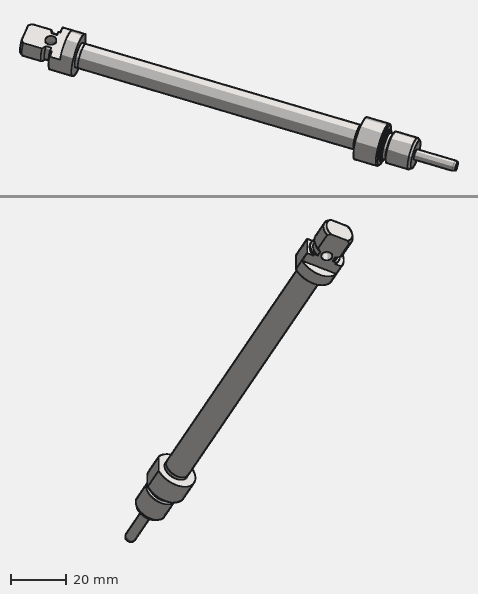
import cadquery as cq


cap_diameter = 16.0
thread_diameter = 12.0
undercut_diameter = 10.0
barrel_diameter = 9.3
rod_diameter = 4.0

cap_flat_distance = 7.0

rear_thread_chamfer_length = 1.0
rear_thread_chamfer_depth = 0.75
rear_thread_end = 8.25
rear_undercut_taper = 1.0
rear_collar_start = 11.25
rear_cap_start = 12.0
rear_cap_end = 20.8

tang_thickness = 8.0
tang_end = 16.0
pin_hole_diameter = 4.0
pin_hole_x = 10.0

spigot_length = 1.3

front_cap_start = 129.2
front_cap_end = 138.3
front_cap_chamfer = 0.5
front_collar_end = 139.2
front_collar_chamfer = 0.4
front_thread_start = 140.9
front_undercut_taper = 0.5
front_thread_end = 150.3
front_thread_chamfer_length = 1.0
front_thread_chamfer_depth = 0.75

rod_end = 166.0
rod_chamfer_length = 1.0
rod_chamfer_depth = 0.3


def turned(stations):
    """Solid of revolution about X from (x, diameter) stations, closed to the axis at both ends."""
    outline = [(x, diameter / 2) for x, diameter in stations]
    first_x = stations[0][0]
    last_x = stations[-1][0]
    return (
        cq.Workplane("XY")
        .polyline([(first_x, 0), *outline, (last_x, 0)])
        .close()
        .revolve(360, (0, 0, 0), (1, 0, 0))
    )


def with_side_flat(cap, start, end):
    """Trim the +Y side of a cap to a flat between two X stations."""
    trim = (
        cq.Workplane("XY")
        .box(end - start, cap_diameter, 2 * cap_diameter, centered=(False, False, True))
        .translate((start, cap_flat_distance, 0))
    )
    return cap.cut(trim)


def make_rear_cap():
    body = turned([
        (0, thread_diameter - 2 * rear_thread_chamfer_depth),
        (rear_thread_chamfer_length, thread_diameter),
        (rear_thread_end, thread_diameter),
        (rear_thread_end + rear_undercut_taper, undercut_diameter),
        (rear_collar_start, undercut_diameter),
        (rear_collar_start, thread_diameter),
        (rear_cap_start, thread_diameter),
        (rear_cap_start, cap_diameter),
        (rear_cap_end, cap_diameter),
        (rear_cap_end, barrel_diameter),
        (rear_cap_end + spigot_length, barrel_diameter),
    ])
    body = with_side_flat(body, rear_cap_start, rear_cap_end)

    for side in (1, -1):
        slab = cq.Workplane("XY").box(
            tang_end, 2 * cap_diameter, cap_diameter, centered=(False, True, True)
        )
        body = body.cut(slab.translate((0, 0, side * (tang_thickness + cap_diameter) / 2)))

    pin_hole = (
        cq.Workplane("XY")
        .center(pin_hole_x, 0)
        .circle(pin_hole_diameter / 2)
        .extrude(cap_diameter, both=True)
    )
    return body.cut(pin_hole)


def make_barrel():
    return turned([
        (rear_cap_end + spigot_length, barrel_diameter),
        (front_cap_start - spigot_length, barrel_diameter),
    ])


def make_front_cap():
    body = turned([
        (front_cap_start - spigot_length, barrel_diameter),
        (front_cap_start, barrel_diameter),
        (front_cap_start, cap_diameter),
        (front_cap_end - front_cap_chamfer, cap_diameter),
        (front_cap_end, cap_diameter - 2 * front_cap_chamfer),
        (front_cap_end, thread_diameter),
        (front_collar_end - front_collar_chamfer, thread_diameter),
        (front_collar_end, thread_diameter - 2 * front_collar_chamfer),
        (front_collar_end, undercut_diameter),
        (front_thread_start - front_undercut_taper, undercut_diameter),
        (front_thread_start, thread_diameter),
        (front_thread_end - front_thread_chamfer_length, thread_diameter),
        (front_thread_end, thread_diameter - 2 * front_thread_chamfer_depth),
    ])
    return with_side_flat(body, front_cap_start, front_cap_end)


def make_piston_rod():
    return turned([
        (front_thread_end, rod_diameter),
        (rod_end - rod_chamfer_length, rod_diameter),
        (rod_end, rod_diameter - 2 * rod_chamfer_depth),
    ])


rear_cap = make_rear_cap()
barrel = make_barrel()
front_cap = make_front_cap()
piston_rod = make_piston_rod()

result = cq.Compound.makeCompound([
    rear_cap.val(),
    barrel.val(),
    front_cap.val(),
    piston_rod.val(),
])